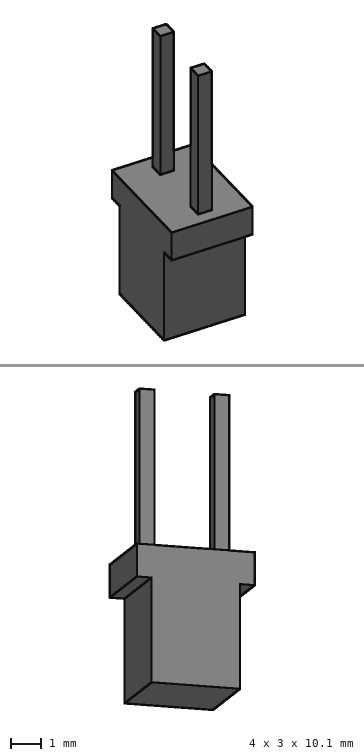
import cadquery as cq

total_height = 10.1
depth = 3.0

body_width = depth
body_height = 3.49
flange_width = 4.0
flange_height = 1.1
housing_height = body_height + flange_height

pin_side = 0.5
pin_spacing = 2.54
pin_height = total_height - housing_height


def block(width, length, height, base_z, center_x=0):
    """Upright block centred on the XZ plane, with its underside at base_z."""
    solid = cq.Workplane("XY").box(width, length, height, centered=(True, True, False))
    return solid.translate((center_x, 0, base_z))


body = block(body_width, depth, body_height, 0)
flange = block(flange_width, depth, flange_height, body_height)
result = body.union(flange)

for side in (-1, 1):
    pin_x = side * pin_spacing / 2
    result = result.union(block(pin_side, pin_side, pin_height, housing_height, pin_x))